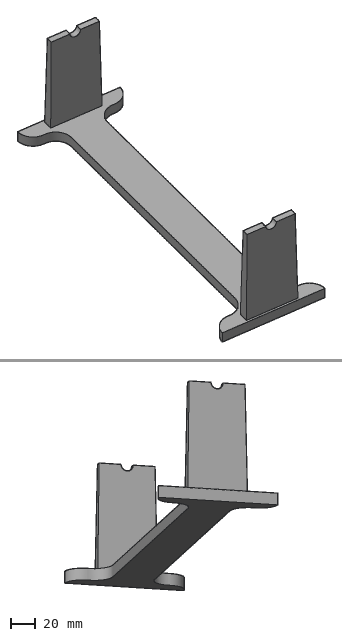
import cadquery as cq
import math

length = 300.0
width = 100.0
height = 100.0

base_thickness = 10.0
bar_width = 35.0
foot_radius = 15.0
fillet_radius = 15.3

post_thickness = 9.0
post_width = 50.0
post_taper = 1.0
post_inset = 6.5
notch_radius = 5.0


def make_base():
    """Flat base, symmetric about both centre planes."""
    end_x = length / 2
    foot_x = end_x - foot_radius
    bar_x = foot_x - fillet_radius
    tip_y = width / 2
    round_y = tip_y - foot_radius
    bar_y = bar_width / 2
    fillet_y = bar_y + fillet_radius
    foot_arc = foot_radius * math.sin(math.radians(45))
    fillet_arc = fillet_radius * math.sin(math.radians(45))

    quarter = (
        cq.Workplane("XY")
        .lineTo(end_x, 0)
        .lineTo(end_x, tip_y)
        .threePointArc((end_x - foot_arc, round_y + foot_arc), (foot_x, round_y))
        .lineTo(foot_x, fillet_y)
        .threePointArc((bar_x + fillet_arc, fillet_y - fillet_arc), (bar_x, bar_y))
        .lineTo(0, bar_y)
        .close()
        .extrude(base_thickness)
    )
    half = quarter.union(quarter.mirror("XZ"))
    return half.union(half.mirror("YZ")).clean()


def make_post(center_x):
    """Tapered post with a round notch across the middle of its top edge."""
    post = (
        cq.Workplane("XY")
        .workplane(offset=base_thickness)
        .center(center_x, 0)
        .rect(post_thickness, post_width)
        .extrude(height - base_thickness, taper=post_taper)
    )
    notch = (
        cq.Workplane("YZ")
        .workplane(offset=center_x - post_thickness / 2)
        .center(0, height)
        .circle(notch_radius)
        .extrude(post_thickness)
    )
    return post.cut(notch)


base = make_base()
posts = [make_post(side * (length / 2 - post_inset)) for side in (-1, 1)]

result = cq.Compound.makeCompound([base.val(), *[post.val() for post in posts]])